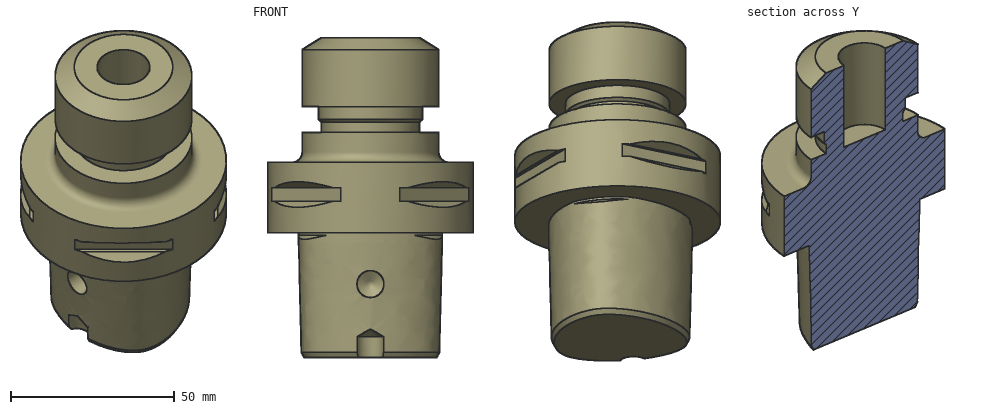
import cadquery as cq
import math

total_height = 98.0

nut_radius = 21.0
nut_top_radius = 15.1
nut_cone_height = 3.6
nut_height = 21.1
bore_radius = 8.0
bore_depth = 29.4
thread_radius = 16.0
thread_bottom = 73.0
neck_radius = 15.1
neck_taper_height = thread_radius - neck_radius
collar_top = 69.0

flange_diameter = 63.0
flange_radius = flange_diameter / 2
flange_bottom = 38.2
flange_top = 59.9
collar_fillet = 3.0
pocket_center_z = 50.0
pocket_floor_height = 4.0
pocket_floor_distance = 27.7
pocket_bevel_distance = 28.8
pocket_mouth_height = 7.8
pocket_count = 4

shank_radius = 22.05
lobe_height = 1.4
taper_top = 35.1
taper_per_height = 0.025
shank_chamfer_height = 1.7
shank_chamfer_width = 0.9
profile_points = 48
relief_radius = 22.2
relief_land_height = 0.8
relief_cone_height = 1.7

drill_radius = 4.1
drill_tip_height = 2.45
side_hole_z = 22.5
side_hole_floor_y = -14.7
notch_axis_y = -20.3
notch_height = 6.4


def upper_body():
    """Revolved nut, neck, collar and flange."""
    nut_bottom = total_height - nut_height
    arc_offset = collar_fillet * (1 - math.sqrt(0.5))
    return (
        cq.Workplane("XZ")
        .moveTo(0, flange_bottom)
        .lineTo(flange_radius, flange_bottom)
        .lineTo(flange_radius, flange_top)
        .lineTo(nut_radius + collar_fillet, flange_top)
        .threePointArc(
            (nut_radius + arc_offset, flange_top + arc_offset),
            (nut_radius, flange_top + collar_fillet),
        )
        .lineTo(nut_radius, collar_top)
        .lineTo(neck_radius, collar_top)
        .lineTo(neck_radius, thread_bottom - neck_taper_height)
        .lineTo(thread_radius, thread_bottom)
        .lineTo(thread_radius, nut_bottom)
        .lineTo(nut_radius, nut_bottom)
        .lineTo(nut_radius, total_height - nut_cone_height)
        .lineTo(nut_top_radius, total_height)
        .lineTo(0, total_height)
        .close()
        .revolve(360, (0, 0, 0), (0, 1, 0))
    )


def lobed_point(mean_radius, angle):
    """Point on a constant-width curve whose lobes point to +Y and 120 degrees either side."""
    support = mean_radius - lobe_height * math.sin(3 * angle)
    slope = -3 * lobe_height * math.cos(3 * angle)
    x = support * math.cos(angle) - slope * math.sin(angle)
    y = support * math.sin(angle) + slope * math.cos(angle)
    return x, y


def lobed_section(mean_radius, z):
    step = 2 * math.pi / profile_points
    start = -math.pi / 2
    points = [lobed_point(mean_radius, start + i * step) for i in range(profile_points)]
    return cq.Workplane("XY").workplane(offset=z).spline(points, periodic=True).close()


def lobed_solid(bottom_radius, bottom_z, top_radius, top_z):
    bottom_wire = lobed_section(bottom_radius, bottom_z).val()
    top_wire = lobed_section(top_radius, top_z).val()
    return cq.Workplane(cq.Solid.makeLoft([bottom_wire, top_wire], True))


def shank():
    """Chamfered tip, tapered length and straight root, with the lobes relieved under the flange."""
    tip_radius = shank_radius - taper_per_height * (taper_top - shank_chamfer_height)
    tip = lobed_solid(tip_radius - shank_chamfer_width, 0, tip_radius, shank_chamfer_height)
    taper = lobed_solid(tip_radius, shank_chamfer_height, shank_radius, taper_top)
    root = lobed_section(shank_radius, taper_top).extrude(flange_bottom - taper_top)

    land_bottom = flange_bottom - relief_land_height
    cone_bottom = land_bottom - relief_cone_height
    envelope = (
        cq.Workplane("XZ")
        .moveTo(0, taper_top)
        .lineTo(flange_radius, taper_top)
        .lineTo(flange_radius, cone_bottom)
        .lineTo(relief_radius + relief_cone_height, cone_bottom)
        .lineTo(relief_radius, land_bottom)
        .lineTo(relief_radius, flange_bottom)
        .lineTo(0, flange_bottom)
        .close()
        .revolve(360, (0, 0, 0), (0, 1, 0))
    )
    return tip.union(taper).union(root.intersect(envelope))


def gripper_pocket(angle):
    """Straight pocket with bevelled mouth, cut across the flange rim."""
    half_floor = pocket_floor_height / 2
    half_mouth = pocket_mouth_height / 2
    upper_profile = [
        (pocket_floor_distance, half_floor),
        (pocket_bevel_distance, half_floor),
        (flange_radius, half_mouth),
    ]
    lower_profile = [(x, -z) for x, z in reversed(upper_profile)]
    return (
        cq.Workplane("XZ")
        .polyline(upper_profile + lower_profile)
        .close()
        .extrude(flange_radius, both=True)
        .translate((0, 0, pocket_center_z))
        .rotate((0, 0, 0), (0, 0, 1), angle)
    )


def drill(length):
    """Drill standing on the origin along +Z, ending in a conical tip."""
    return (
        cq.Workplane("XZ")
        .polyline([(0, 0), (drill_radius, 0), (drill_radius, length), (0, length + drill_tip_height)])
        .close()
        .revolve(360, (0, 0, 0), (0, 1, 0))
    )


def side_hole():
    length = side_hole_floor_y + flange_radius
    return (
        drill(length)
        .rotate((0, 0, 0), (1, 0, 0), -90)
        .translate((0, -flange_radius, side_hole_z))
    )


def tip_notch():
    return drill(notch_height).translate((0, notch_axis_y, 0))


def nut_bore():
    return (
        cq.Workplane("XY")
        .workplane(offset=total_height - bore_depth)
        .circle(bore_radius)
        .extrude(bore_depth)
    )


result = upper_body().union(shank()).cut(nut_bore())
for index in range(pocket_count):
    pocket_angle = 360 / pocket_count * (index + 0.5)
    result = result.cut(gripper_pocket(pocket_angle))
result = result.cut(side_hole()).cut(tip_notch())